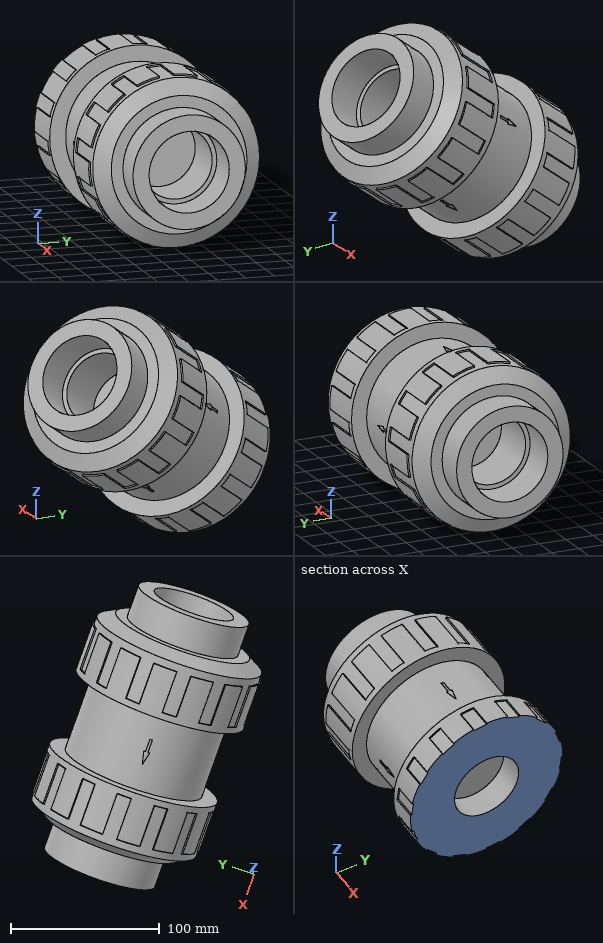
import cadquery as cq
import math

LENGTH = 192.0

BODY_RADIUS = 48.8

SOCKET_RADIUS = 39.5
BORE_RADIUS = 28.2
BORE_DEPTH = 28.2
PASSAGE_RADIUS = 25.0
PASSAGE_DEPTH = 38.4

NUT_DIAMETER = 120.0
NUT_RADIUS = NUT_DIAMETER / 2
GRIP_HEIGHT = 1.2
NUT_ROOT_RADIUS = NUT_RADIUS - GRIP_HEIGHT
NUT_FACE_RADIUS = 47.8
NUT_INNER_X = 26.9
COLLAR_WIDTH = 4.6
NUT_OUTER_X = 73.2
CONE_LENGTH = 6.5
GRIP_LENGTH = 29.8
GRIP_START_X = NUT_INNER_X + COLLAR_WIDTH
GRIP_COUNT = 14
GRIP_ANGLE = 16.0

ARROW_LENGTH = 18.0
ARROW_HEAD_LENGTH = 9.0
ARROW_HEAD_WIDTH = 4.2
ARROW_SHAFT_WIDTH = 1.7
ARROW_HEIGHT = 0.2
ARROW_COUNT = 4


def cylinder(radius, start_x, length):
    """Solid cylinder along +X."""
    return cq.Workplane("YZ", origin=(start_x, 0, 0)).circle(radius).extrude(length)


def rim_point(radius, angle):
    """Point in the YZ plane at an angle in degrees from +Z towards +Y."""
    turn = math.radians(angle)
    return radius * math.sin(turn), radius * math.cos(turn)


def grip_ring():
    """Ring with the collar and the raised pads; one edge of a pad lies on the Z axis."""
    pitch_angle = 360 / GRIP_COUNT
    gap_floor_radius = NUT_FACE_RADIUS
    gap_outer_radius = NUT_RADIUS + 2 * GRIP_HEIGHT
    ring = cylinder(NUT_RADIUS, NUT_INNER_X, COLLAR_WIDTH + GRIP_LENGTH)
    for index in range(GRIP_COUNT):
        gap_end = index * pitch_angle
        gap_start = gap_end - (pitch_angle - GRIP_ANGLE)
        gap = (
            cq.Workplane("YZ", origin=(GRIP_START_X, 0, 0))
            .moveTo(*rim_point(gap_floor_radius, gap_start))
            .lineTo(*rim_point(gap_floor_radius, gap_end))
            .lineTo(*rim_point(gap_outer_radius, gap_end))
            .lineTo(*rim_point(gap_outer_radius, gap_start))
            .close()
            .extrude(GRIP_LENGTH)
        )
        ring = ring.cut(gap)
    return ring


def union_nut():
    """Nut on the +X side: collar, grip pads and coned outer end."""
    core = cylinder(NUT_ROOT_RADIUS, NUT_INNER_X, NUT_OUTER_X - NUT_INNER_X)
    core = core.faces(">X").chamfer(CONE_LENGTH, NUT_ROOT_RADIUS - NUT_FACE_RADIUS)
    return core.union(grip_ring())


def flow_arrow():
    """Arrow on the +Z side of the body pointing to +X, its top following the body's curve."""
    tip_x = ARROW_LENGTH / 2
    head_x = tip_x - ARROW_HEAD_LENGTH
    half_shaft = ARROW_SHAFT_WIDTH / 2
    half_head = ARROW_HEAD_WIDTH / 2
    outline = [
        (-tip_x, -half_shaft),
        (head_x, -half_shaft),
        (head_x, -half_head),
        (tip_x, 0),
        (head_x, half_head),
        (head_x, half_shaft),
        (-tip_x, half_shaft),
    ]
    top_radius = BODY_RADIUS + ARROW_HEIGHT
    prism = cq.Workplane("XY").polyline(outline).close().extrude(NUT_RADIUS)
    return prism.intersect(cylinder(top_radius, -tip_x, ARROW_LENGTH))


def end_bore():
    """Stepped blind bore entering from the +X end."""
    bore_floor_x = LENGTH / 2 - BORE_DEPTH
    bore = cylinder(BORE_RADIUS, bore_floor_x, BORE_DEPTH)
    return bore.union(cylinder(PASSAGE_RADIUS, bore_floor_x - PASSAGE_DEPTH, PASSAGE_DEPTH))


result = cylinder(BODY_RADIUS, -NUT_INNER_X, 2 * NUT_INNER_X)
result = result.union(cylinder(SOCKET_RADIUS, -LENGTH / 2, LENGTH))

for index in range(ARROW_COUNT):
    result = result.union(flow_arrow().rotate((0, 0, 0), (1, 0, 0), index * 360 / ARROW_COUNT))

for turn in (0, 180):
    result = result.union(union_nut().rotate((0, 0, 0), (0, 0, 1), turn))
    result = result.cut(end_bore().rotate((0, 0, 0), (0, 0, 1), turn))